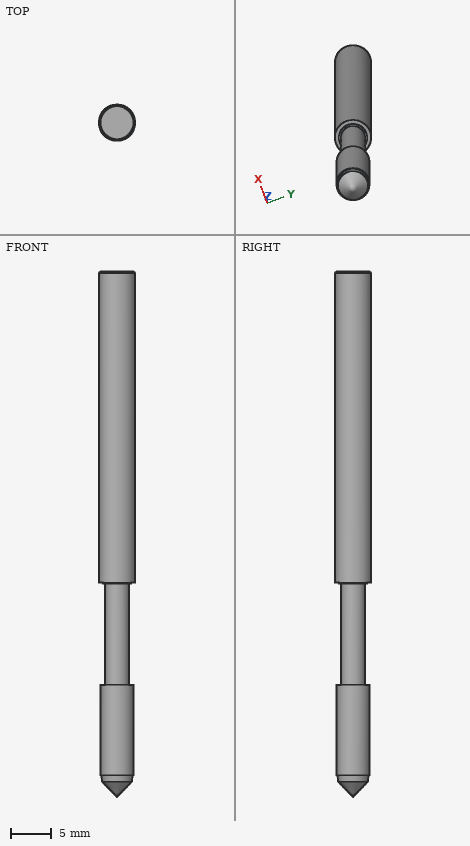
import cadquery as cq

overall_length = 64.83

barrel_radius = 2.25
barrel_length = 38.5
end_chamfer = 0.22
mouth_ring_radius = 1.75
mouth_ring_height = 0.1

rod_radius = 1.5
rod_length = 12.5
head_radius = 2.05
head_length = 11.13
taper_top_radius = 1.95
taper_bottom_radius = 1.85
taper_length = 0.8

shoulder_z = -rod_length
taper_top_z = shoulder_z - head_length
taper_bottom_z = taper_top_z - taper_length
point_z = barrel_length - overall_length


def revolve_about_z(profile):
    """Turn a closed half profile, drawn in the XZ plane, about the Z axis."""
    return profile.revolve(360, (0, 0, 0), (0, 1, 0))


def make_barrel():
    """Round barrel with a chamfered top end and a raised ring at the mouth."""
    profile = (
        cq.Workplane("XZ")
        .moveTo(0, 0)
        .lineTo(mouth_ring_radius, 0)
        .lineTo(mouth_ring_radius, mouth_ring_height)
        .lineTo(barrel_radius, mouth_ring_height)
        .lineTo(barrel_radius, barrel_length - end_chamfer)
        .lineTo(barrel_radius - end_chamfer, barrel_length)
        .lineTo(0, barrel_length)
        .close()
    )
    return revolve_about_z(profile)


def make_plunger():
    """Rod that meets the barrel's mouth, with a thicker head and a conical point."""
    profile = (
        cq.Workplane("XZ")
        .moveTo(0, 0)
        .lineTo(rod_radius, 0)
        .lineTo(rod_radius, shoulder_z)
        .lineTo(head_radius, shoulder_z)
        .lineTo(head_radius, taper_top_z)
        .lineTo(taper_top_radius, taper_top_z)
        .lineTo(taper_bottom_radius, taper_bottom_z)
        .lineTo(0, point_z)
        .close()
    )
    return revolve_about_z(profile)


barrel = make_barrel()
plunger = make_plunger()
result = cq.Compound.makeCompound([barrel.val(), plunger.val()])